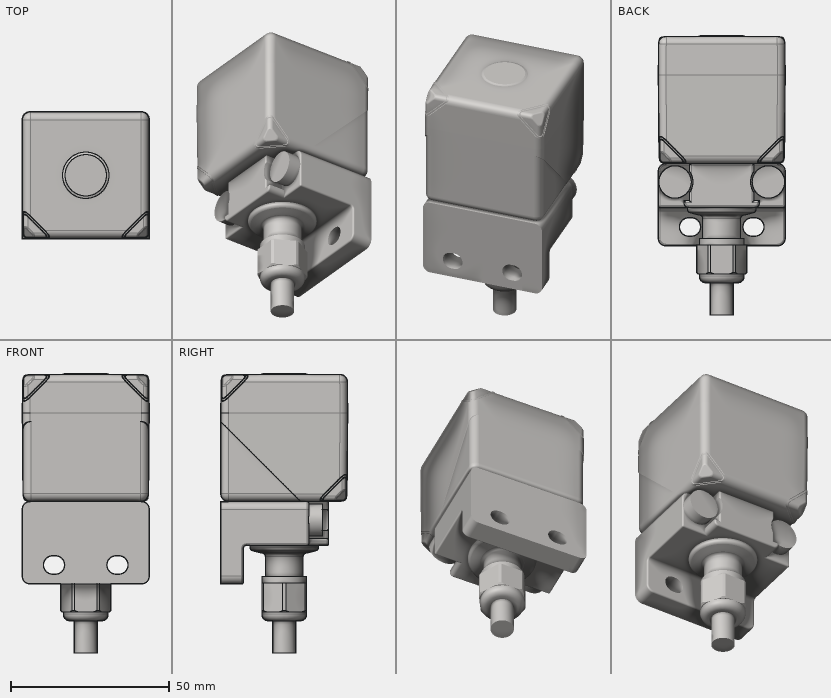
import cadquery as cq
import math

width = 40.1
half_width = width / 2
total_height = 88.2

disc_height = 0.3
head_top = total_height - disc_height
head_bottom = 47.8
parting_z = 75.6
draft_angle = 0.5
edge_radius = 2.5
disc_radius = 7.3
disc_top_radius = 6.5

wedge_top_z = 73.0
wedge_half_width = 19.75

rim_reach = 9.6
floor_reach = 8.8
facet_reach = 4.9
rim_depth = 0.13
floor_depth = 0.3
recess_edge_radius = 1.4
facet_edge_radius = 0.7
corner_block_size = 17.6

block_bottom = 33.9
side_end_y = 7.8
leg_bottom = 21.8
leg_thickness = 7.1
inner_corner_radius = 1.1
small_radius = 0.5
slot_length = 6.6
slot_height = 5.7
slot_spacing = 20.0
slot_z = 27.8

tongue_end_y = 14.0
tongue_half_width = 10.1
ledge_half_width = 11.9
ledge_height = 2.1
ledge_radius = 1.4
boss_radius = 5.1
boss_clearance_radius = 5.6
boss_end_y = 12.0
boss_x = 14.7
boss_z = 42.0

flange_radius = 10.8
flange_rim_z = 33.4
flange_cone_radius = 10.05
flange_cone_z = 32.3
neck_fillet = 1.0
neck_top_z = 31.5
neck_radius = 6.0
nut_collar_top = 24.15
hex_top = 22.1
hex_bottom = 12.9
nut_bottom = 10.1
nut_across_flats = 14.2
nut_corner_radius = 7.9
hex_turn = 30.0
nut_round = 2.1
cable_radius = 3.7


def draft_inset(z):
    """Distance by which a drafted side has moved inwards at height z."""
    return abs(z - parting_z) * math.tan(math.radians(draft_angle))


def upper_half():
    """Head above the parting plane, drafted on all four sides."""
    half = (
        cq.Workplane("XY", origin=(0, 0, parting_z))
        .rect(width, width)
        .extrude(head_top - parting_z, taper=draft_angle)
    )
    return half.edges("not <Z").fillet(edge_radius)


def lower_half():
    """Head below the parting plane, drafted on three sides and straight on the -Y front."""
    height = parting_z - head_bottom
    envelope = cq.Workplane("XY").box(width, width, height).translate((0, 0, head_bottom + height / 2))
    half = (
        cq.Workplane("XY", origin=(0, -half_width, parting_z))
        .rect(width, 2 * width)
        .extrude(-height, taper=draft_angle)
        .intersect(envelope)
    )
    return half.edges("not >Z").fillet(edge_radius)


def wedge_prism():
    """Triangular prism that covers the lower front of the head below the 45 degree plane."""
    leg = wedge_top_z - head_bottom
    return (
        cq.Workplane("YZ")
        .workplane(offset=-half_width)
        .moveTo(-half_width, head_bottom)
        .lineTo(-half_width, wedge_top_z)
        .lineTo(leg - half_width, head_bottom)
        .close()
        .extrude(width)
    )


def front_wedge(prism):
    """Straight-sided block cut to the prism, slightly narrower than the head above it."""
    block = (
        cq.Workplane("XY")
        .box(2 * wedge_half_width, width, width)
        .edges()
        .fillet(edge_radius)
        .translate((0, 0, head_bottom + half_width))
    )
    return block.intersect(prism)


def corner_side(corner, inward, reach):
    """Large disc filling the corner side of the plane that cuts each corner axis at the given reach."""
    origin = tuple(c + i * reach / 3 for c, i in zip(corner, inward))
    plane = cq.Plane(origin=origin, xDir=(inward[0], -inward[1], 0), normal=inward)
    return cq.Workplane(plane).circle(half_width).extrude(-half_width)


def sunken_block(corner, inward, depth):
    """Rounded block whose three corner faces lie the given depth inside the head."""
    center = tuple(c + i * (depth + corner_block_size / 2) for c, i in zip(corner, inward))
    return (
        cq.Workplane("XY")
        .box(corner_block_size, corner_block_size, corner_block_size)
        .edges()
        .fillet(recess_edge_radius)
        .translate(center)
    )


def recess_corner(head, corner, inward):
    """Step the head down twice towards a corner and flatten the tip with a facet."""
    for reach, depth in ((rim_reach, rim_depth), (floor_reach, floor_depth)):
        region = corner_side(corner, inward, reach)
        head = head.cut(region).union(sunken_block(corner, inward, depth).intersect(region))
    head = head.cut(corner_side(corner, inward, facet_reach))
    facet_center = tuple(c + i * facet_reach / 3 for c, i in zip(corner, inward))
    facet = head.faces(cq.selectors.NearestToPointSelector(facet_center))
    return facet.edges().fillet(facet_edge_radius)


def make_head():
    head = upper_half().union(lower_half())
    prism = wedge_prism()
    head = head.cut(prism).union(front_wedge(prism))
    top_half_width = half_width - draft_inset(head_top)
    bottom_half_width = half_width - draft_inset(head_bottom)
    for side in (-1, 1):
        head = recess_corner(head, (side * top_half_width, -top_half_width, head_top), (-side, 1, -1))
        head = recess_corner(head, (side * bottom_half_width, bottom_half_width, head_bottom), (-side, -1, 1))
    disc = (
        cq.Workplane("XY")
        .workplane(offset=head_top)
        .circle(disc_radius)
        .workplane(offset=disc_height)
        .circle(disc_top_radius)
        .loft()
    )
    return head.union(disc)


def make_bracket():
    leg_back_y = leg_thickness - half_width
    bracket = (
        cq.Workplane("YZ")
        .workplane(offset=-half_width)
        .moveTo(-half_width, head_bottom)
        .lineTo(side_end_y, head_bottom)
        .lineTo(side_end_y, block_bottom)
        .lineTo(leg_back_y, block_bottom)
        .lineTo(leg_back_y, leg_bottom)
        .lineTo(-half_width, leg_bottom)
        .close()
        .extrude(width)
    )
    inner_corner = cq.selectors.NearestToPointSelector((0, leg_back_y, block_bottom))
    bracket = bracket.edges(inner_corner).fillet(inner_corner_radius)
    corners = bracket.edges("|Y and >Z").add(bracket.edges("|Y and <Z"))
    bracket = bracket.newObject(corners.vals()).fillet(edge_radius)
    rear_rim = bracket.faces(">Y").edges()
    leg_rim = bracket.edges(cq.selectors.NearestToPointSelector((0, leg_back_y, leg_bottom)))
    bracket = bracket.newObject(rear_rim.vals() + leg_rim.vals()).fillet(small_radius)
    slots = (
        cq.Workplane("XZ", origin=(0, 0, slot_z))
        .pushPoints([(-slot_spacing / 2, 0), (slot_spacing / 2, 0)])
        .slot2D(slot_length, slot_height)
        .extrude(width, both=True)
    )
    return bracket.cut(slots)


def y_cylinders(radius, end_y):
    """Pair of cylinders along Y on the screw axes, from inside the bracket to end_y."""
    start_y = side_end_y - small_radius
    return (
        cq.Workplane("XZ", origin=(0, start_y, boss_z))
        .pushPoints([(-boss_x, 0), (boss_x, 0)])
        .circle(radius)
        .extrude(start_y - end_y)
    )


def make_tongue():
    """Central rear tongue, scooped out around the screw bosses, on a slightly wider ledge."""
    height = head_bottom - block_bottom
    length = tongue_end_y
    tongue = (
        cq.Workplane("XY")
        .box(2 * tongue_half_width, length, height, centered=(True, False, False))
        .translate((0, 0, block_bottom))
        .faces(">Y")
        .edges()
        .fillet(small_radius)
    )
    ledge = (
        cq.Workplane("XY")
        .box(2 * ledge_half_width, length, ledge_height, centered=(True, False, False))
        .translate((0, 0, block_bottom))
        .edges("|Y and <Z")
        .fillet(ledge_radius)
        .faces(">Y")
        .edges()
        .fillet(small_radius)
    )
    scoops = y_cylinders(boss_clearance_radius, width)
    return tongue.cut(scoops).union(ledge)


def make_gland():
    """Turned flange and neck, gland nut and cable, all about the Z axis."""
    fillet_sag = neck_fillet * (1 - math.sqrt(0.5))
    turned = (
        cq.Workplane("XZ")
        .moveTo(0, block_bottom)
        .lineTo(flange_radius, block_bottom)
        .lineTo(flange_radius, flange_rim_z)
        .tangentArcPoint((flange_cone_radius, flange_cone_z), relative=False)
        .lineTo(neck_radius + neck_fillet, neck_top_z)
        .threePointArc(
            (neck_radius + fillet_sag, neck_top_z - fillet_sag),
            (neck_radius, neck_top_z - neck_fillet),
        )
        .lineTo(neck_radius, nut_collar_top)
        .lineTo(0, nut_collar_top)
        .close()
        .revolve()
    )
    nut_radius = nut_across_flats / 2
    nut = (
        cq.Workplane("XY")
        .workplane(offset=nut_bottom)
        .circle(nut_radius)
        .extrude(nut_collar_top - nut_bottom)
        .faces("<Z")
        .edges()
        .fillet(nut_round)
    )
    hexagon = (
        cq.Workplane("XY")
        .workplane(offset=hex_bottom)
        .polygon(6, nut_across_flats, circumscribed=True)
        .extrude(hex_top - hex_bottom)
        .rotate((0, 0, 0), (0, 0, 1), hex_turn)
    )
    hex_limit = (
        cq.Workplane("XY")
        .workplane(offset=hex_bottom)
        .circle(nut_corner_radius)
        .extrude(hex_top - hex_bottom)
        .faces("<Z")
        .edges()
        .chamfer(small_radius)
    )
    cable = cq.Workplane("XY").circle(cable_radius).extrude(nut_collar_top)
    return turned.union(nut).union(hexagon.intersect(hex_limit)).union(cable)


bracket = make_bracket().union(make_tongue()).union(y_cylinders(boss_radius, boss_end_y))
result = make_head().union(bracket).union(make_gland())